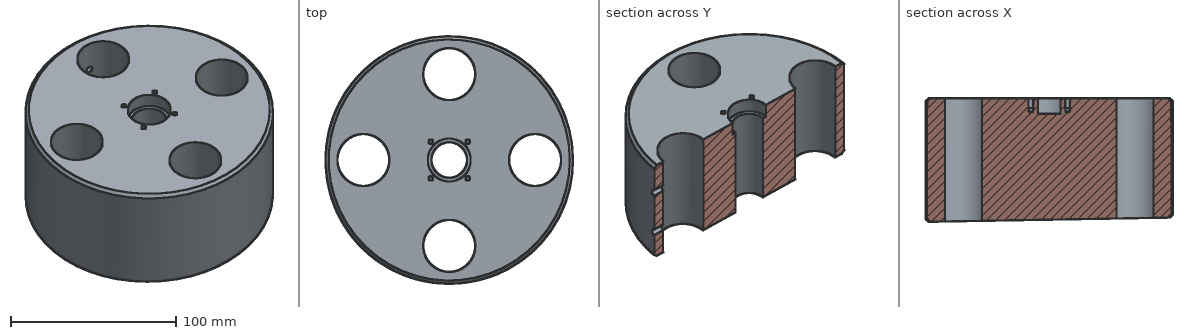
import cadquery as cq
import math

diameter = 150.0
full_height = 75.0
underside_tilt = 1.0
edge_chamfer = 2.0

pocket_diameter = 31.35
pocket_circle_radius = 52.0
pocket_count = 4

bore_diameter = 21.4
seat_diameter = 26.0
seat_depth = 9.4

screw_hole_diameter = 2.8
screw_hole_depth = 6.0
core_hole_diameter = 2.4
core_hole_depth = 8.0
screw_circle_diameter = 31.5
screw_hole_count = 4
drill_point_angle = 118.0

side_hole_diameter = 4.2
side_hole_depths = (21.6, 53.4)

radius = diameter / 2


def make_body():
    """Cylinder with its underside cut along a tilted plane and both rims chamfered."""
    rise = diameter * math.tan(math.radians(underside_tilt))
    wedge = (
        cq.Workplane("YZ")
        .moveTo(-radius, 0)
        .lineTo(radius, rise)
        .lineTo(radius, 0)
        .close()
        .extrude(radius, both=True)
    )
    body = cq.Workplane("XY").circle(radius).extrude(full_height).cut(wedge)
    return body.faces("<Z or >Z").edges().chamfer(edge_chamfer)


def cut_pockets(body):
    """Large through holes, one on each side of the X and Y axes."""
    pockets = (
        cq.Workplane("XY")
        .polarArray(pocket_circle_radius, 0, 360, pocket_count)
        .circle(pocket_diameter / 2)
        .extrude(full_height)
    )
    return body.cut(pockets)


def cut_centre_bore(body):
    """Through bore with a wider flat-bottomed seat at the top."""
    bore = cq.Workplane("XY").circle(bore_diameter / 2).extrude(full_height)
    seat = cq.Workplane("XY", origin=(0, 0, full_height)).circle(seat_diameter / 2).extrude(-seat_depth)
    return body.cut(bore).cut(seat)


def cut_screw_holes(body):
    """Holes that narrow to a core drilling with a conical end, on the diagonals around the seat."""
    hole_radius = screw_hole_diameter / 2
    core_radius = core_hole_diameter / 2
    point_length = core_radius / math.tan(math.radians(drill_point_angle / 2))
    drill = (
        cq.Workplane("XZ")
        .lineTo(hole_radius, 0)
        .lineTo(hole_radius, -screw_hole_depth)
        .lineTo(core_radius, -screw_hole_depth)
        .lineTo(core_radius, -core_hole_depth)
        .lineTo(0, -core_hole_depth - point_length)
        .close()
        .revolve(360, (0, 0, 0), (0, 1, 0))
    )
    angle_step = 360 / screw_hole_count
    for index in range(screw_hole_count):
        angle = math.radians((index + 0.5) * angle_step)
        x = screw_circle_diameter / 2 * math.cos(angle)
        y = screw_circle_diameter / 2 * math.sin(angle)
        body = body.cut(drill.translate((x, y, full_height)))
    return body


def cut_side_holes(body):
    """Radial holes that run from the outer wall to the axis of the -X large hole."""
    length = radius - pocket_circle_radius
    for depth in side_hole_depths:
        start = (-radius, 0, full_height - depth)
        hole = cq.Workplane("YZ", origin=start).circle(side_hole_diameter / 2).extrude(length)
        body = body.cut(hole)
    return body


body = make_body()
body = cut_pockets(body)
body = cut_centre_bore(body)
body = cut_screw_holes(body)
result = cut_side_holes(body)